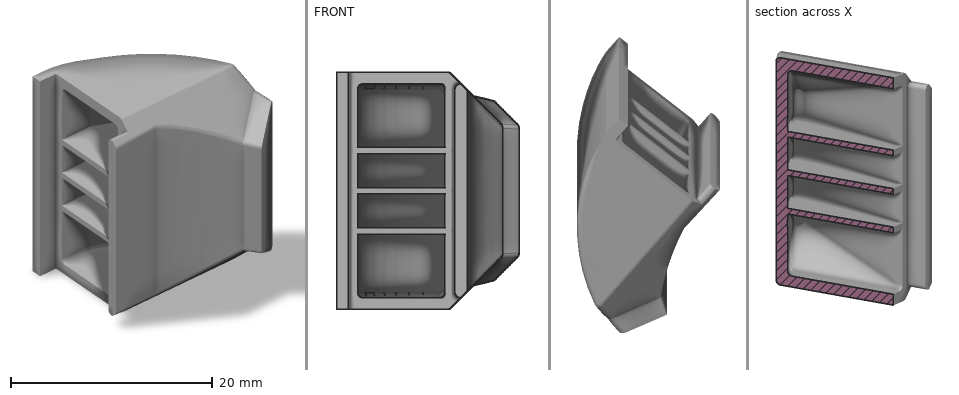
import cadquery as cq
import math

height = 23.6
wall = 1.18
edge_radius = 0.5
floor_radius = 0.9

channel_depth = 2.08
left_foot_width = 1.15
right_foot_inner_x = 11.75

skin_start = (0.0, channel_depth)
skin_end = (15.22, 18.35)
skin_radius = 19.35
tip_corner = (18.15, 14.51)
hollow_end = (16.5, 13.45)
hollow_start = (12.8, 5.33)
hollow_radius = 29.74
foot_outer_x = 12.98

fade_y = 7.79

bevel_start_x = 11.2
bevel_sum = bevel_start_x + height / 2

pocket_left = 2.1
pocket_right = 10.75
undercut_end = (12.48, 8.4)
pocket_height = height - 2 * wall
rib_thickness = 0.64
rib_pitch = 4.0
rib_count = 3

root_length = 4.72
tip_face_length = math.dist(skin_end, tip_corner)
along_root = (
    (tip_corner[0] - skin_end[0]) / tip_face_length,
    (tip_corner[1] - skin_end[1]) / tip_face_length,
)
root_start = (
    hollow_end[0] - root_length * along_root[0],
    hollow_end[1] - root_length * along_root[1],
)
root_plane = cq.Plane(
    origin=(*root_start, 0),
    xDir=(*along_root, 0),
    normal=(-along_root[1], along_root[0], 0),
)

along_root_faces = cq.selectors.PerpendicularDirSelector(root_plane.zDir)

reach = 2 * height


def prism(closed_outline, depth):
    """Extrude an XY outline equally to both sides of Z = 0."""
    return closed_outline.extrude(depth / 2, both=True)


def box(x_min, x_max, y_min, y_max, z_size):
    """Box between the given X and Y limits, centred on Z = 0."""
    corners = [(x_min, y_min), (x_max, y_min), (x_max, y_max), (x_min, y_max)]
    return prism(cq.Workplane("XY").polyline(corners).close(), z_size)


def side_outline(left_points):
    """Closed outline: the points on the left, the skin arc, the tip face and the hollow side."""
    return (
        cq.Workplane("XY")
        .polyline(left_points)
        .radiusArc(skin_end, skin_radius)
        .lineTo(*tip_corner)
        .lineTo(*hollow_end)
        .radiusArc(hollow_start, -hollow_radius)
        .lineTo(foot_outer_x, 0)
        .close()
    )


def plain_outline():
    """Outline of the whole part, with a straight left foot."""
    return side_outline([(0, 0), skin_start])


def skin_centre():
    """Centre of the skin arc."""
    chord_x = skin_end[0] - skin_start[0]
    chord_y = skin_end[1] - skin_start[1]
    chord = math.hypot(chord_x, chord_y)
    offset = math.sqrt((skin_radius / chord) ** 2 - 1 / 4)
    centre_x = (skin_start[0] + skin_end[0]) / 2 + offset * chord_y
    centre_y = (skin_start[1] + skin_end[1]) / 2 - offset * chord_x
    return centre_x, centre_y


def fading_outline():
    """Outline whose skin leaves the arc along its tangent and runs outside the part at the feet."""
    centre_x, centre_y = skin_centre()
    rise = fade_y - centre_y
    run = math.sqrt(skin_radius**2 - rise**2)
    fade_x = centre_x - run
    return side_outline([(fade_x - fade_y * rise / run, 0), (fade_x, fade_y)])


def bevel(solid, limit):
    """Keep the part of a solid where X + |Z| is at most the limit."""
    keep = (
        cq.Workplane("XZ")
        .polyline([(limit, 0), (limit - reach, reach), (limit - reach, -reach)])
        .close()
        .extrude(reach, both=True)
    )
    return solid.intersect(keep)


def behind_root(solid):
    """Keep the part of a solid on the mounting side of the root line."""
    return solid.cut(cq.Workplane(root_plane).rect(reach, reach).extrude(reach))


def main_body():
    """Bevelled body up to the root line, rounded along its end faces and bevels."""
    body = bevel(prism(fading_outline(), height), bevel_sum)
    body = body.edges("not (|Z or <Y)").fillet(edge_radius)
    return behind_root(body).intersect(prism(plain_outline(), height))


def tip_block():
    """Block beyond the root line; its ends run straight out from the ends of the bevels."""
    overlap = wall
    start = -overlap
    end = root_length + overlap
    half_root = bevel_sum - root_start[0]
    half_start = half_root - start * along_root[0]
    half_end = half_root - end * along_root[0]
    ends = (
        cq.Workplane(root_plane)
        .polyline([(start, half_start), (end, half_end), (end, -half_end), (start, -half_start)])
        .close()
        .extrude(reach)
    )
    block = prism(plain_outline(), height).intersect(ends)
    return block.edges(-along_root_faces).fillet(edge_radius)


def channel():
    """Space between the feet, passing around the ends of the shorter right foot."""
    space = box(left_foot_width, reach, -reach, channel_depth, reach)
    foot = box(right_foot_inner_x, reach, -reach, channel_depth, pocket_height)
    foot = foot.edges("|Y and <X").fillet(edge_radius)
    return space.cut(foot)


def pocket():
    """Space inside the walls, with an undercut right side and rounded inner edges."""
    undercut = (undercut_end[0] - pocket_right) / (undercut_end[1] - channel_depth)
    far_right = pocket_right + undercut * (reach - channel_depth)
    mouth = (
        cq.Workplane("XY")
        .moveTo(pocket_left, channel_depth)
        .lineTo(pocket_right, channel_depth)
        .lineTo(far_right, reach)
        .lineTo(pocket_left, reach)
        .close()
    )
    inside_skin = cq.Workplane("XY").center(*skin_centre()).circle(skin_radius - wall)
    space = prism(mouth, pocket_height).intersect(prism(inside_skin, height))
    space = bevel(space, bevel_sum - wall * math.sqrt(2))
    space = behind_root(space)
    space = space.faces("<Z or >Z").edges("|Y").edges(">X").fillet(floor_radius)
    return space.edges("not (|Z or <Y)").edges(-along_root_faces).fillet(edge_radius)


def rib(index):
    """One of the cross ribs that divide the pocket, evenly spaced about Z = 0."""
    level = (index - (rib_count - 1) / 2) * rib_pitch
    return box(0, reach, 0, reach, rib_thickness).translate((0, 0, level))


hollow_space = pocket()
for index in range(rib_count):
    hollow_space = hollow_space.cut(rib(index))

result = main_body().union(tip_block()).cut(channel()).cut(hollow_space)